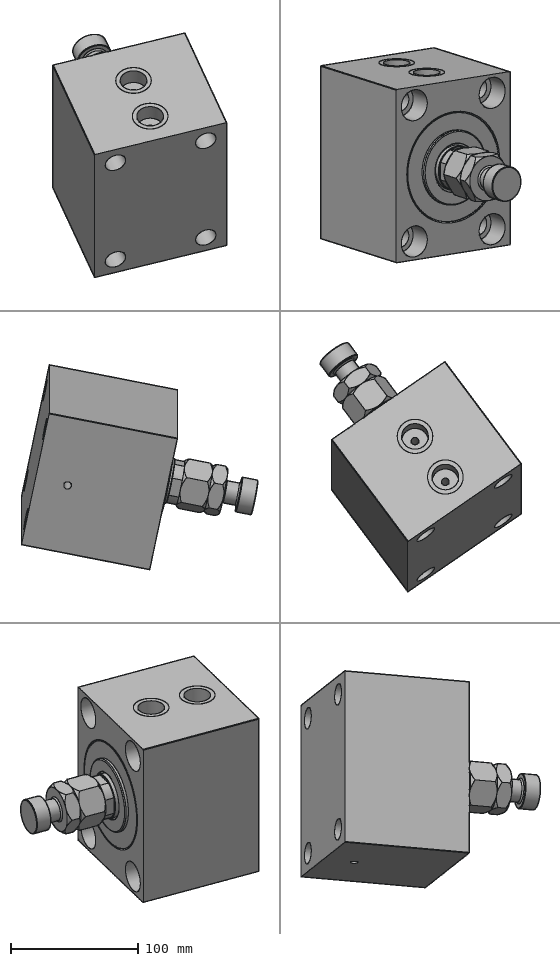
import cadquery as cq
import math


BLOCK_LENGTH = 103.0
BLOCK_WIDTH = 110.0
BLOCK_HEIGHT = 140.0
BLOCK_EDGE_CHAMFER = 0.5

BOLT_PITCH_Y = 75.0
BOLT_PITCH_Z = 110.0
BOLT_HOLE_DIAMETER = 16.9
COUNTERBORE_DIAMETER = 25.0
COUNTERBORE_DEPTH = 19.4

FRONT_PORT_X = 36.0
PORT_PITCH = 41.0
REAR_PORT_X = FRONT_PORT_X + PORT_PITCH
SPOTFACE_DIAMETER = 28.0
SPOTFACE_DEPTH = 0.2
PORT_DIAMETER = 21.0
PORT_DEPTH = 13.4
OIL_HOLE_DIAMETER = 6.0

GLAND_DIAMETER = 87.5
GLAND_DEPTH = 14
BORE_CHAMFER = 1.0
DISC_DIAMETER = 60.0
DISC_HEIGHT = 3.0
DISC_CHAMFER = 0.9
WIPER_RECESS_DIAMETER = 39.5
WIPER_RECESS_DEPTH = 1.8

ROD_DIAMETER = 35.9
ROD_PROJECTION = 2.6
ROD_CHAMFER = 0.5
ROD_REAR_X = (FRONT_PORT_X + REAR_PORT_X) / 2
ROD_NECK_DIAMETER = 35.0
ROD_NECK_LENGTH = 8.0
ROD_NECK_FLATS = 32.0

HEX_FLATS = 35.9
LONG_HEX_LENGTH = 22.4
SHORT_HEX_LENGTH = 12.1
COUPLING_NECK_LENGTH = 12.1
COUPLING_NECK_DIAMETER = 18.0
NECK_CORNER_CHAMFER = 1.2
HEAD_LENGTH = 12.8
HEAD_DIAMETER = 28.0
HEAD_CHAMFER = 0.5

ROD_SHOULDER_X = -DISC_HEIGHT - ROD_PROJECTION
ROD_TIP_X = ROD_SHOULDER_X - ROD_NECK_LENGTH
HEX_JOINT_X = ROD_TIP_X - LONG_HEX_LENGTH
SHORT_HEX_X = HEX_JOINT_X - SHORT_HEX_LENGTH
HEAD_BACK_X = SHORT_HEX_X - COUPLING_NECK_LENGTH
HEAD_FRONT_X = HEAD_BACK_X - HEAD_LENGTH


def axial_cylinder(diameter, start_x, end_x):
    """Cylinder on the X axis between two X positions."""
    return cq.Workplane("YZ", origin=(start_x, 0, 0)).circle(diameter / 2).extrude(end_x - start_x)


def vertical_hole(x, diameter, depth):
    """Cutter that goes down from the top face of the block."""
    top = cq.Workplane("XY", origin=(x, 0, BLOCK_HEIGHT / 2))
    return top.circle(diameter / 2).extrude(-depth)


def make_block():
    block = cq.Workplane("XY").box(BLOCK_LENGTH, BLOCK_WIDTH, BLOCK_HEIGHT, centered=(False, True, True))
    block = block.edges("|X").chamfer(BLOCK_EDGE_CHAMFER)

    block = block.cut(axial_cylinder(GLAND_DIAMETER, 0, GLAND_DEPTH))
    block = block.faces("<X").edges("%CIRCLE").chamfer(BORE_CHAMFER)
    block = block.cut(axial_cylinder(ROD_DIAMETER, GLAND_DEPTH, ROD_REAR_X))

    bolt_plane = cq.Workplane("YZ").rarray(BOLT_PITCH_Y, BOLT_PITCH_Z, 2, 2)
    block = block.cut(bolt_plane.circle(BOLT_HOLE_DIAMETER / 2).extrude(BLOCK_LENGTH))
    block = block.cut(bolt_plane.circle(COUNTERBORE_DIAMETER / 2).extrude(COUNTERBORE_DEPTH))

    oil_hole_depths = {FRONT_PORT_X: BLOCK_HEIGHT / 2, REAR_PORT_X: BLOCK_HEIGHT}
    for port_x, oil_hole_depth in oil_hole_depths.items():
        block = block.cut(vertical_hole(port_x, SPOTFACE_DIAMETER, SPOTFACE_DEPTH))
        block = block.cut(vertical_hole(port_x, PORT_DIAMETER, PORT_DEPTH))
        block = block.cut(vertical_hole(port_x, OIL_HOLE_DIAMETER, oil_hole_depth))
    return block


def make_gland():
    plug = axial_cylinder(GLAND_DIAMETER, 0, GLAND_DEPTH)
    disc = axial_cylinder(DISC_DIAMETER, -DISC_HEIGHT, 0).faces("<X").chamfer(DISC_CHAMFER)
    wiper_recess = axial_cylinder(WIPER_RECESS_DIAMETER, -DISC_HEIGHT, WIPER_RECESS_DEPTH - DISC_HEIGHT)
    rod_hole = axial_cylinder(ROD_DIAMETER, -DISC_HEIGHT, GLAND_DEPTH)
    return plug.union(disc).cut(wiper_recess).cut(rod_hole)


def make_rod():
    shank = axial_cylinder(ROD_DIAMETER, ROD_SHOULDER_X, ROD_REAR_X).faces("<X").chamfer(ROD_CHAMFER)

    neck = axial_cylinder(ROD_NECK_DIAMETER, ROD_TIP_X, ROD_SHOULDER_X)
    flats = cq.Workplane("YZ", origin=(ROD_TIP_X, 0, 0)).rect(ROD_NECK_FLATS, ROD_NECK_FLATS)
    return shank.union(neck.intersect(flats.extrude(ROD_NECK_LENGTH)))


def make_hexagon(start_x, length):
    """Hexagon with flats up and down, its corners chamfered at both ends."""
    corner_diameter = HEX_FLATS / math.cos(math.radians(30))
    corner_chamfer = (corner_diameter - HEX_FLATS) / 2
    prism = cq.Workplane("YZ", origin=(start_x, 0, 0)).polygon(6, corner_diameter).extrude(length)
    turned = axial_cylinder(corner_diameter, start_x, start_x + length).faces("<X or >X").chamfer(corner_chamfer)
    return prism.intersect(turned)


def make_coupling():
    head = axial_cylinder(HEAD_DIAMETER, HEAD_FRONT_X, HEAD_BACK_X).faces("<X or >X").chamfer(HEAD_CHAMFER)
    neck = axial_cylinder(COUPLING_NECK_DIAMETER, HEAD_BACK_X, SHORT_HEX_X)
    coupling = head.union(neck).union(make_hexagon(SHORT_HEX_X, SHORT_HEX_LENGTH))
    smallest_circles = cq.selectors.RadiusNthSelector(0)
    coupling = coupling.edges("%CIRCLE").edges(smallest_circles).chamfer(NECK_CORNER_CHAMFER)

    return coupling.union(make_hexagon(HEX_JOINT_X, LONG_HEX_LENGTH))


block = make_block()
gland = make_gland()
rod = make_rod()
coupling = make_coupling()

result = cq.Compound.makeCompound([block.val(), gland.val(), rod.val(), coupling.val()])